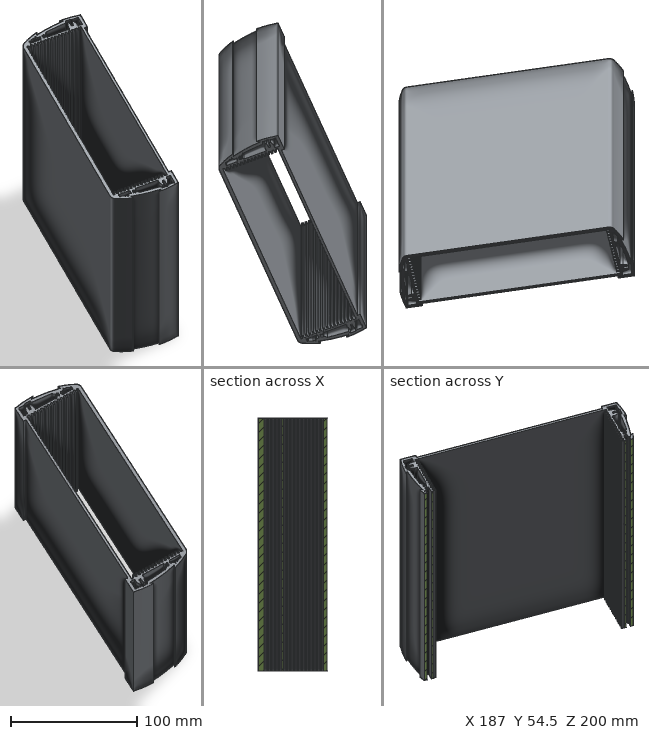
import cadquery as cq
import math

length = 200.0
width = 187.0
depth = 54.5
half_width = width / 2

floor_thickness = 3.0
roof_top = 52.2
roof_thickness = 2.2
chamber_half_width = 81.2
side_wall = 1.5
side_wall_outer = chamber_half_width + side_wall

pad_inner_edge = 78.8
pad_outer_edge = 92.0

drip_edge_y = 37.0
drip_edge_thickness = 0.2
latch_lip_x = 90.5
latch_lip_bottom = 15.2
latch_lip_top = 16.0
corner_end = (85.5, 3.2)

upper_cavity_top = 52.0
upper_cavity_narrow_x = 90.5
upper_cavity_wide_x = 91.2
keyhole_floor = 18.5
cheek_hook_x = 85.8
wall_hook_x = 84.0
lower_cavity_top = 16.5
lower_cavity_bottom = 6.8
lower_cavity_upper_x = 85.5
lower_cavity_widest_x = 86.5

rib_count = 15
rib_pitch = 3.0
first_rib_y = 5.2
rib_tip = 78.8
rib_thickness = 1.2
rib_root_radius = 0.5

fork_y = 44.5
fork_tip = 88.8
fork_shoulder = 85.2
fork_root_height = 7.5
fork_tip_height = 4.5
fork_mouth_height = 2.2
fork_slot_height = 1.5
fork_slot_end = 84.8


def extrude_outline(outline):
    """Close a section outline and extrude it over the full length."""
    return outline.close().extrude(length)


def block(x_min, x_max, y_min, y_max):
    """Full-length rectangular bar between the given section limits."""
    size_x = x_max - x_min
    size_y = y_max - y_min
    return cq.Workplane("XY").rect(size_x, size_y).extrude(length).translate(
        ((x_min + x_max) / 2, (y_min + y_max) / 2, 0)
    )


def half_body():
    """Solid outline of the +X half, with the drip edge and the latch lip."""
    outline = (
        cq.Workplane("XY")
        .lineTo(chamber_half_width, 0)
        .threePointArc((83.8, 1.0), corner_end)
        .threePointArc((88.2, 9.0), (latch_lip_x, latch_lip_bottom))
        .lineTo(latch_lip_x, latch_lip_top)
        .lineTo(88.2, 15.0)
        .lineTo(88.5, latch_lip_top)
        .threePointArc((90.5, 26.0), (92.0, 39.5))
        .lineTo(half_width - drip_edge_thickness, drip_edge_y)
        .lineTo(half_width, drip_edge_y)
        .threePointArc((93.2, 44.8), (pad_outer_edge, 53.2))
        .lineTo(pad_outer_edge, depth)
        .lineTo(pad_inner_edge, depth)
        .lineTo(pad_inner_edge, roof_top)
        .lineTo(0, roof_top)
    )
    return extrude_outline(outline)


def upper_cavity():
    """Space between side wall and cheek, ending in the snap-joint keyhole."""
    outline = (
        cq.Workplane("XY")
        .moveTo(side_wall_outer, upper_cavity_top)
        .lineTo(90.0, upper_cavity_top)
        .lineTo(upper_cavity_narrow_x, 51.5)
        .lineTo(upper_cavity_narrow_x, 47.2)
        .lineTo(upper_cavity_wide_x, 45.5)
        .lineTo(upper_cavity_wide_x, 41.2)
        .lineTo(89.5, 40.5)
        .threePointArc((88.8, 32.5), (87.8, 23.0))
        .lineTo(cheek_hook_x, 20.8)
        .lineTo(cheek_hook_x, 20.2)
        .lineTo(86.5, 19.8)
        .lineTo(cheek_hook_x, keyhole_floor)
        .lineTo(83.8, keyhole_floor)
        .lineTo(83.5, 19.2)
        .lineTo(wall_hook_x, 20.2)
        .lineTo(wall_hook_x, 20.8)
        .lineTo(side_wall_outer, 21.8)
    )
    return extrude_outline(outline)


def lower_cavity():
    """Closed cell below the snap joint."""
    outline = (
        cq.Workplane("XY")
        .moveTo(side_wall_outer, lower_cavity_bottom)
        .lineTo(85.2, lower_cavity_bottom)
        .lineTo(85.0, 8.0)
        .threePointArc((85.8, 9.5), (lower_cavity_widest_x, 11.0))
        .lineTo(lower_cavity_widest_x, 12.8)
        .lineTo(87.5, 13.0)
        .lineTo(lower_cavity_upper_x, 14.5)
        .lineTo(lower_cavity_upper_x, lower_cavity_top)
        .lineTo(84.0, lower_cavity_top)
        .lineTo(side_wall_outer, 16.0)
    )
    return extrude_outline(outline)


def screw_fork():
    """Two tapered prongs with a slot between them that takes a screw."""
    root = fork_root_height / 2
    tip = fork_tip_height / 2
    mouth = fork_mouth_height / 2
    slot = fork_slot_height / 2
    outline = (
        cq.Workplane("XY", origin=(0, fork_y, 0))
        .moveTo(chamber_half_width, root)
        .lineTo(fork_shoulder, root)
        .lineTo(fork_tip, tip)
        .lineTo(fork_tip, mouth)
        .lineTo(fork_slot_end, slot)
        .lineTo(fork_slot_end, -slot)
        .lineTo(fork_tip, -mouth)
        .lineTo(fork_tip, -tip)
        .lineTo(fork_shoulder, -root)
        .lineTo(chamber_half_width, -root)
    )
    return extrude_outline(outline)


def guide_rib(y):
    """One card guide rib on the inside of the side wall, with rounded roots."""
    half_thickness = rib_thickness / 2
    root_half_height = half_thickness + rib_root_radius
    root_start = chamber_half_width - rib_root_radius
    wall_center = chamber_half_width + side_wall / 2
    arc_inset = rib_root_radius * (1 - math.sqrt(0.5))
    arc_mid_x = chamber_half_width - arc_inset
    arc_mid_y = half_thickness + arc_inset
    outline = (
        cq.Workplane("XY", origin=(0, y, 0))
        .moveTo(wall_center, -root_half_height)
        .lineTo(chamber_half_width, -root_half_height)
        .threePointArc((arc_mid_x, -arc_mid_y), (root_start, -half_thickness))
        .lineTo(rib_tip, -half_thickness)
        .lineTo(rib_tip, half_thickness)
        .lineTo(root_start, half_thickness)
        .threePointArc((arc_mid_x, arc_mid_y), (chamber_half_width, root_half_height))
        .lineTo(wall_center, root_half_height)
    )
    return extrude_outline(outline)


def half_profile():
    """Complete +X half of the part."""
    chamber_top = roof_top - roof_thickness
    half = half_body()
    half = half.cut(block(0, chamber_half_width, floor_thickness, chamber_top))
    half = half.cut(upper_cavity()).cut(lower_cavity())
    half = half.union(screw_fork())
    for index in range(rib_count):
        half = half.union(guide_rib(first_rib_y + index * rib_pitch))
    return half


right_half = half_profile()
result = right_half.union(right_half.mirror("YZ"))